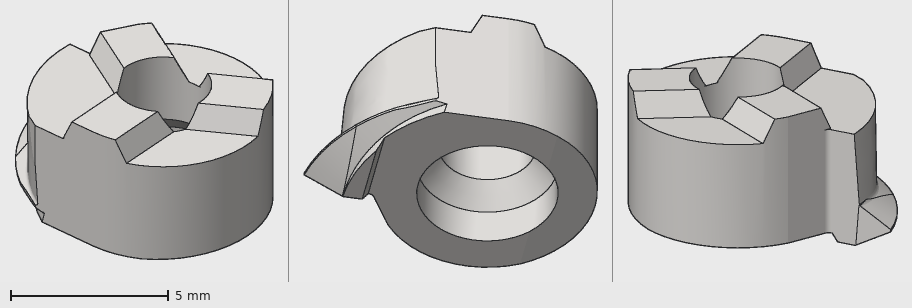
import cadquery as cq
import math

BODY_RADIUS = 3.501
BORE_RADIUS = 3.1 / 2
COUNTERBORE_RADIUS = 4.5 / 2
COUNTERBORE_DEPTH = 1.24
SCREW_CONE_TOP_Z = 2.0
SEAT_HEIGHT = 3.59
TOTAL_HEIGHT = 4.39
BACK_FLAT_DISTANCE = 3.48
BACK_FLAT_ANGLE = 150
FLAT_MID_Y = BACK_FLAT_DISTANCE * math.sin(math.radians(BACK_FLAT_ANGLE))
GULLET_RADIUS = 0.2
CORNER_FLAT_DISTANCE = 4.22
CORNER_FLAT_ANGLE = 240
RELIEF_START_X = 1.67
RELIEF_RISE = 0.08

RIDGE_ANGLES = (30, 150, 270)
RIDGE_TOP_WIDTH = 1.71
RIDGE_BASE_WIDTH = 2.455

RAKE_Y = 0.75
CREST_X = BODY_RADIUS - 9.3
HEEL_Y = -BODY_RADIUS
CREST_LOW_Z = 0.45
CREST_HIGH_Z = 0.53
CREST_MID_Z = (CREST_LOW_Z + CREST_HIGH_Z) / 2
FLANK_ANGLE = 30
FLANK_DEPTH = 1.49
PAD_BOTTOM_Z = -0.27
PAD_INNER_X = -3.72
PAD_END_RUN = 0.195
TIP_JOINT_BOTTOM_X = -4.56
TIP_JOINT_TOP_X = -4.67
TIP_JOINT_TOP_Z = 1.15
FILLET_RADIUS = 0.16
ROOT_REACH = 0.37

CREST_ARC = ((CREST_X, RAKE_Y), (-4.65, -1.77), (-2.36, HEEL_Y))
SEAT_ARC = ((-4.5, RAKE_Y), (-4.13, -1.53), (-2.49, HEEL_Y))
ROOT_ARC = ((-4.73, RAKE_Y), (-3.98, -1.88), (-2.26, HEEL_Y))
FOOT_TOP_ARC = ((-4.63, RAKE_Y), (-3.74, -1.93), (-1.97, HEEL_Y))
FOOT_LOW_ARC = ((-4.55, RAKE_Y), (-3.72, -1.925), (-2.16, HEEL_Y))

SPAN = 18.6


def beyond_flat(angle, distance):
    """Everything farther than distance from the Z axis in the given direction."""
    block = cq.Workplane("XY").box(SPAN, SPAN, SPAN).translate((distance + SPAN / 2, 0, 0))
    return block.rotate((0, 0, 0), (0, 0, 1), angle)


def tooth_wire(plane, arc):
    """Sector from the bore axis out to an arc, bounded by the rake and heel planes."""
    start, middle, end = arc
    return plane.moveTo(0, RAKE_Y).lineTo(*start).threePointArc(middle, end).lineTo(0, HEEL_Y).close()


def wall(low_arc, low_z, high_arc, high_z):
    """Ruled tooth wall between two arcs at different heights."""
    low = tooth_wire(cq.Workplane("XY").workplane(offset=low_z), low_arc)
    return tooth_wire(low.workplane(offset=high_z - low_z), high_arc).loft(ruled=True)


def arc_circle(arc):
    """Centre and radius of the circle through the three points of an arc."""
    (ax, ay), (bx, by), (cx, cy) = arc
    d = 2 * (ax * (by - cy) + bx * (cy - ay) + cx * (ay - by))
    a2, b2, c2 = ax**2 + ay**2, bx**2 + by**2, cx**2 + cy**2
    x = (a2 * (by - cy) + b2 * (cy - ay) + c2 * (ay - by)) / d
    y = (a2 * (cx - bx) + b2 * (ax - cx) + c2 * (bx - ax)) / d
    return x, y, math.hypot(ax - x, ay - y)


def thread_flange():
    """60 degree thread profile revolved about the axis of the crest arc."""
    x, y, radius = arc_circle(CREST_ARC)
    slope = math.tan(math.radians(FLANK_ANGLE))
    top = CREST_HIGH_Z + FLANK_DEPTH * slope
    lower_run = (CREST_LOW_Z - PAD_BOTTOM_Z) / slope
    profile = [
        (radius, CREST_LOW_Z),
        (radius, CREST_HIGH_Z),
        (radius - FLANK_DEPTH, top),
        (0, top),
        (0, PAD_BOTTOM_Z),
        (radius - lower_run, PAD_BOTTOM_Z),
    ]
    ring = cq.Workplane("XZ").polyline(profile).close().revolve(360, (0, 0), (0, 1)).translate((x, y, 0))
    sector = cq.Workplane("XY").box(SPAN, RAKE_Y - HEEL_Y, SPAN).translate((-SPAN / 2, (RAKE_Y + HEEL_Y) / 2, 0))
    return ring.intersect(sector)


def root_fillet(solid):
    """Round the concave edge between the upper wall and the upper thread flank."""
    x, y = ROOT_ARC[1]
    low = (x - ROOT_REACH, y - ROOT_REACH, CREST_HIGH_Z)
    high = (x + ROOT_REACH, y + ROOT_REACH, TIP_JOINT_TOP_Z)
    edge = solid.edges(cq.selectors.BoxSelector(low, high))
    return edge.fillet(FILLET_RADIUS)


def tooth():
    upper_wall = wall(ROOT_ARC, CREST_MID_Z, SEAT_ARC, SEAT_HEIGHT)
    foot = wall(FOOT_LOW_ARC, PAD_BOTTOM_Z, FOOT_TOP_ARC, CREST_MID_Z)
    solid = root_fillet(upper_wall.union(thread_flange()).union(foot))
    below_underside = (
        cq.Workplane("XZ")
        .polyline([
            (PAD_INNER_X, 0),
            (PAD_INNER_X - PAD_END_RUN, PAD_BOTTOM_Z),
            (PAD_INNER_X - PAD_END_RUN, -SPAN),
            (SPAN, -SPAN),
            (SPAN, 0),
        ])
        .close()
        .extrude(SPAN / 2, both=True)
    )
    return solid.cut(below_underside).cut(beyond_flat(CORNER_FLAT_ANGLE, CORNER_FLAT_DISTANCE))


def core(height):
    """Round body with the flat behind the gullet."""
    round_body = cq.Workplane("XY").circle(BODY_RADIUS).extrude(height)
    gullet_side = cq.Workplane("XY").rect(-SPAN, FLAT_MID_Y, centered=False).extrude(height)
    return round_body.union(gullet_side).cut(beyond_flat(BACK_FLAT_ANGLE, BACK_FLAT_DISTANCE))


def ridge(angle):
    """One radial driving ridge with sloping sides, trimmed to the body outline."""
    half_base = RIDGE_BASE_WIDTH / 2
    half_top = RIDGE_TOP_WIDTH / 2
    profile = [
        (-half_base, SEAT_HEIGHT),
        (half_base, SEAT_HEIGHT),
        (half_top, TOTAL_HEIGHT),
        (-half_top, TOTAL_HEIGHT),
    ]
    bar = cq.Workplane("YZ").polyline(profile).close().extrude(SPAN).rotate((0, 0, 0), (0, 0, 1), angle)
    heel_corner = cq.Workplane("XY").rect(-BODY_RADIUS / 2, HEEL_Y, centered=False).extrude(TOTAL_HEIGHT)
    return bar.intersect(core(TOTAL_HEIGHT).union(heel_corner))


def blank():
    """Body and tooth together, before the tip is separated."""
    solid = core(SEAT_HEIGHT).union(tooth())
    flat_angle = math.radians(BACK_FLAT_ANGLE)
    gullet_x = (BACK_FLAT_DISTANCE - RAKE_Y * math.sin(flat_angle)) / math.cos(flat_angle)
    gullet = cq.selectors.NearestToPointSelector((gullet_x, RAKE_Y, SEAT_HEIGHT / 2))
    solid = solid.edges("|Z").edges(gullet).fillet(GULLET_RADIUS)
    for angle in RIDGE_ANGLES:
        solid = solid.union(ridge(angle))
    bore = cq.Workplane("XY").circle(BORE_RADIUS).extrude(TOTAL_HEIGHT)
    counterbore = cq.Workplane("XY").circle(COUNTERBORE_RADIUS).extrude(COUNTERBORE_DEPTH)
    screw_cone = (
        cq.Workplane("XY")
        .workplane(offset=COUNTERBORE_DEPTH)
        .circle(COUNTERBORE_RADIUS)
        .workplane(offset=SCREW_CONE_TOP_Z - COUNTERBORE_DEPTH)
        .circle(BORE_RADIUS)
        .loft()
    )
    relief = (
        cq.Workplane("XZ")
        .polyline([(RELIEF_START_X, 0), (BODY_RADIUS, 0), (BODY_RADIUS, RELIEF_RISE)])
        .close()
        .extrude(SPAN / 2, both=True)
    )
    return solid.cut(bore).cut(counterbore).cut(screw_cone).cut(relief)


tip_zone = (
    cq.Workplane("XZ")
    .polyline([
        (-SPAN, PAD_BOTTOM_Z),
        (TIP_JOINT_BOTTOM_X, PAD_BOTTOM_Z),
        (TIP_JOINT_TOP_X, TIP_JOINT_TOP_Z),
        (-SPAN, TIP_JOINT_TOP_Z),
    ])
    .close()
    .extrude(SPAN / 2, both=True)
)
whole = blank()
cutter_body = whole.cut(tip_zone)
cutting_tip = whole.intersect(tip_zone)

result = cq.Compound.makeCompound([cutter_body.val(), cutting_tip.val()])